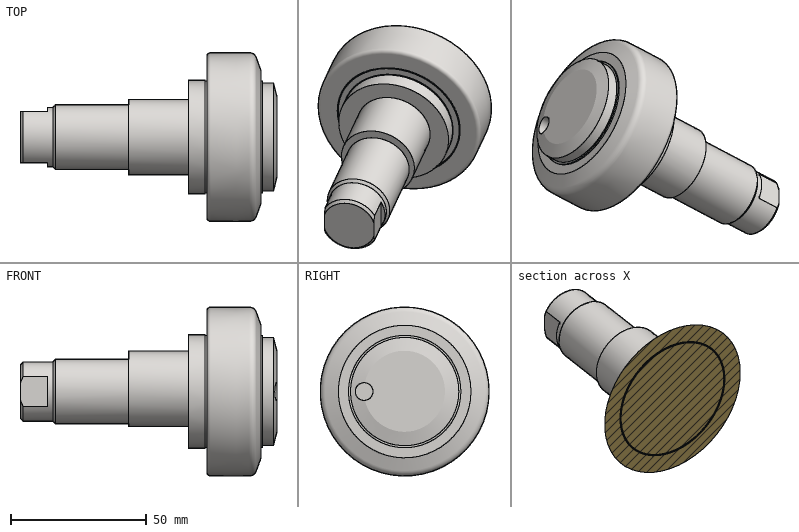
import cadquery as cq
import math

total_length = 94.85
flats_end = 10.0
neck_end = 11.95
thread_start = 13.0
thread_end = 40.0
eccentric_end = 62.0
flange_end = 68.3
roller_start = 68.9
roller_end = 89.0
inner_ring_end = 89.5
hub_cone_start = 93.5

neck_diameter = 22.0
thread_diameter = 24.0
eccentric_diameter = 28.0
flange_diameter = 42.1
inner_ring_diameter = 41.5
hub_diameter = 40.0
hub_face_diameter = 30.0
roller_edge_diameter = 62.4
roller_crown_diameter = 62.5

end_chamfer = 1.0
flats_width = 19.0
eccentricity = 1.0
small_fillet = 1.4
large_fillet = 2.7
cone_length = 1.8
cone_angle = math.radians(20)
seal_gap_outer = 47.0
seal_gap_inner = 46.5
seal_gap_depth = 0.6
pin_hole_diameter = 6.5
pin_hole_depth = 4.7
pin_hole_center = hub_face_diameter / 2


def cylinder(diameter, start, end, z=0.0):
    """Cylinder along X between two positions."""
    return cq.Workplane("YZ", origin=(start, 0, z)).circle(diameter / 2).extrude(end - start)


def make_stud():
    """Stepped stud with a wrench end and an eccentric collar."""
    neck = cylinder(neck_diameter, 0, neck_end).faces("<X").chamfer(end_chamfer)
    for side in (-1, 1):
        flat_cut = cq.Workplane("XY").box(
            flats_end, neck_diameter, neck_diameter, centered=(False, True, True)
        )
        neck = neck.cut(flat_cut.translate((0, side * (flats_width + neck_diameter) / 2, 0)))
    lead_in = (
        cq.Workplane("XY")
        .moveTo(neck_end, 0)
        .lineTo(neck_end, neck_diameter / 2)
        .lineTo(thread_start, thread_diameter / 2)
        .lineTo(thread_start, 0)
        .close()
        .revolve(360, (0, 0, 0), (1, 0, 0))
    )
    thread = cylinder(thread_diameter, thread_start, thread_end)
    eccentric = cylinder(eccentric_diameter, thread_end, eccentric_end, eccentricity)
    flange = cylinder(flange_diameter, eccentric_end, flange_end)
    return neck.union(lead_in).union(thread).union(eccentric).union(flange)


def make_roller():
    """Crowned roller with rounded edges and a conical shoulder on the hub side."""
    edge_radius = roller_edge_diameter / 2
    tread_start = roller_start + small_fillet
    cone_start = roller_end - cone_length
    tread_end = cone_start - large_fillet * math.cos(cone_angle)
    fillet_center_radius = edge_radius - large_fillet
    cone_start_radius = fillet_center_radius + large_fillet * math.sin(cone_angle)
    cone_end_radius = cone_start_radius - (roller_end - cone_start) / math.tan(cone_angle)
    arc_mid = large_fillet * math.sin((math.pi / 2 - cone_angle) / 2)
    arc_mid_height = large_fillet * math.cos((math.pi / 2 - cone_angle) / 2)
    profile = (
        cq.Workplane("XY")
        .moveTo(roller_start, 0)
        .lineTo(roller_start, edge_radius - small_fillet)
        .radiusArc((tread_start, edge_radius), small_fillet)
        .threePointArc(
            ((tread_start + tread_end) / 2, roller_crown_diameter / 2), (tread_end, edge_radius)
        )
        .threePointArc(
            (tread_end + arc_mid, fillet_center_radius + arc_mid_height),
            (cone_start, cone_start_radius),
        )
        .lineTo(roller_end, cone_end_radius)
        .lineTo(roller_end, 0)
        .close()
    )
    roller = profile.revolve(360, (0, 0, 0), (1, 0, 0))
    seal_gap_end = roller_start + seal_gap_depth
    seal_gap = cylinder(seal_gap_outer, roller_start, seal_gap_end).cut(
        cylinder(seal_gap_inner, roller_start, seal_gap_end)
    )
    return roller.cut(seal_gap)


def make_hub():
    """Inner ring and hub with a conical end and an off-axis blind pin hole."""
    inner_ring = cylinder(inner_ring_diameter, flange_end, inner_ring_end)
    hub = (
        cq.Workplane("XY")
        .moveTo(inner_ring_end, 0)
        .lineTo(inner_ring_end, hub_diameter / 2)
        .lineTo(hub_cone_start, hub_diameter / 2)
        .lineTo(total_length, hub_face_diameter / 2)
        .lineTo(total_length, 0)
        .close()
        .revolve(360, (0, 0, 0), (1, 0, 0))
    )
    pin_hole = cylinder(pin_hole_diameter, total_length - pin_hole_depth, total_length)
    return inner_ring.union(hub).cut(pin_hole.translate((0, -pin_hole_center, 0)))


result = make_stud().union(make_roller()).union(make_hub())